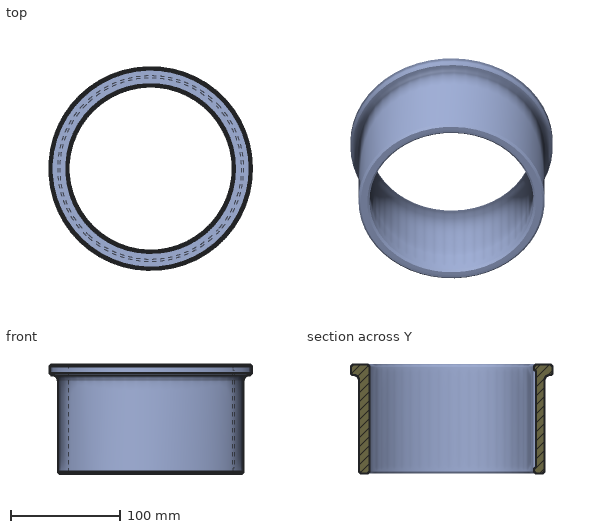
import cadquery as cq

height = 100.0
bore_diameter = 150.0
body_diameter = 170.0
flange_diameter = 185.0
flange_thickness = 10.0
edge_chamfer = 2.0
neck_fillet = 4.5
groove_radius = 2.0
groove_depth = 1.75
groove_end_margin = 5.0

bore_radius = bore_diameter / 2
body_radius = body_diameter / 2
flange_radius = flange_diameter / 2
flange_bottom = height - flange_thickness
groove_axis_x = bore_radius + groove_depth - groove_radius
groove_low_center = groove_end_margin + groove_radius
groove_high_center = height - groove_low_center


def make_sleeve():
    """Flanged sleeve revolved about Z, from its half section in the XZ plane."""
    section = (
        cq.Workplane("XZ")
        .moveTo(bore_radius, edge_chamfer)
        .lineTo(bore_radius + edge_chamfer, 0)
        .lineTo(body_radius - edge_chamfer, 0)
        .lineTo(body_radius, edge_chamfer)
        .lineTo(body_radius, flange_bottom - neck_fillet)
        .radiusArc((body_radius + neck_fillet, flange_bottom), neck_fillet)
        .lineTo(flange_radius - edge_chamfer, flange_bottom)
        .lineTo(flange_radius, flange_bottom + edge_chamfer)
        .lineTo(flange_radius, height - edge_chamfer)
        .lineTo(flange_radius - edge_chamfer, height)
        .lineTo(bore_radius + edge_chamfer, height)
        .lineTo(bore_radius, height - edge_chamfer)
        .close()
    )
    return section.revolve(360, (0, 0, 0), (0, 1, 0))


def make_groove_cutter():
    """Vertical round-ended cutter for the closed groove in the bore wall at +X."""
    cutter = (
        cq.Workplane("XY", origin=(groove_axis_x, 0, groove_low_center))
        .circle(groove_radius)
        .extrude(groove_high_center - groove_low_center)
    )
    for center_height in (groove_low_center, groove_high_center):
        ball = cq.Workplane("XY", origin=(groove_axis_x, 0, center_height)).sphere(groove_radius)
        cutter = cutter.union(ball)
    return cutter


result = make_sleeve().cut(make_groove_cutter())